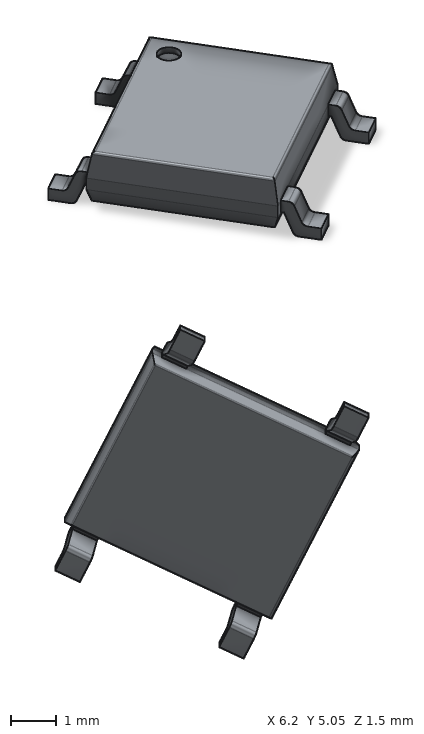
import cadquery as cq
import math

BODY_LENGTH_X = 4.35
BODY_LENGTH_Y = 5.05
BODY_BOTTOM_Z = 0.22
BODY_TOP_Z = 1.5
TOP_DRAFT = 10.0
BOTTOM_DRAFT = 16.0
TOP_EDGE_RADIUS = 0.065
BOTTOM_EDGE_RADIUS = 0.03

MARK_DIAMETER = 0.54
MARK_DEPTH = 0.15
MARK_X = -1.47
MARK_Y = 1.83

LEAD_SPAN = 6.2
LEAD_PITCH = 4.0
LEAD_WIDTH = 0.6
LEAD_THICKNESS = 0.3
LEAD_TOP_Z = 0.875
LEAD_SLOPE = 67.0
FOOT_CORNER = 0.41
BEND_RADIUS = 0.15

BELT_TOP_Z = LEAD_TOP_Z
BELT_BOTTOM_Z = LEAD_TOP_Z - LEAD_THICKNESS
BODY_SIDE_X = BODY_LENGTH_X / 2
LEAD_TIP_X = LEAD_SPAN / 2


def belt_rectangle(z):
    """Full-size rectangle of the body at height z."""
    return cq.Workplane("XY").workplane(offset=z).rect(BODY_LENGTH_X, BODY_LENGTH_Y)


def make_body():
    """Moulded housing: straight belt, drafted halves and a round pin-1 recess."""
    belt = belt_rectangle(BELT_BOTTOM_Z).extrude(LEAD_THICKNESS)
    upper = belt_rectangle(BELT_TOP_Z).extrude(BODY_TOP_Z - BELT_TOP_Z, taper=TOP_DRAFT)
    upper = upper.faces(">Z").edges().fillet(TOP_EDGE_RADIUS)
    lower = belt_rectangle(BELT_BOTTOM_Z).extrude(BODY_BOTTOM_Z - BELT_BOTTOM_Z, taper=BOTTOM_DRAFT)
    lower = lower.faces("<Z").edges().fillet(BOTTOM_EDGE_RADIUS)
    mark = (
        cq.Workplane("XY")
        .workplane(offset=BODY_TOP_Z - MARK_DEPTH)
        .center(MARK_X, MARK_Y)
        .circle(MARK_DIAMETER / 2)
        .extrude(MARK_DEPTH)
    )
    return belt.union(upper).union(lower).cut(mark)


def make_lead(side, y):
    """Gull-wing lead of constant thickness, butting on the belt; side is -1 or +1 along X."""
    slope = math.radians(LEAD_SLOPE)
    leg_run = (LEAD_TOP_Z - LEAD_THICKNESS) / math.tan(slope)
    mitre_shift = LEAD_THICKNESS * math.tan(slope / 2)

    heel_x = LEAD_TIP_X - FOOT_CORNER
    shoulder_x = heel_x - leg_run
    corners = [
        (LEAD_TIP_X, 0),
        (LEAD_TIP_X, LEAD_THICKNESS),
        (heel_x, LEAD_THICKNESS),
        (shoulder_x, LEAD_TOP_Z),
        (BODY_SIDE_X, LEAD_TOP_Z),
        (BODY_SIDE_X, BELT_BOTTOM_Z),
        (shoulder_x - mitre_shift, BELT_BOTTOM_Z),
        (heel_x - mitre_shift, 0),
    ]
    bends = [corners[2], corners[3], corners[7]]

    lead = (
        cq.Workplane("XZ", origin=(0, y + LEAD_WIDTH / 2, 0))
        .polyline([(side * x, z) for x, z in corners])
        .close()
        .extrude(LEAD_WIDTH)
    )
    for x, z in bends:
        lead = lead.edges(cq.selectors.NearestToPointSelector((side * x, y, z))).fillet(BEND_RADIUS)
    return lead


body = make_body()
leads = [make_lead(side, y) for side in (-1, 1) for y in (-LEAD_PITCH / 2, LEAD_PITCH / 2)]

result = cq.Compound.makeCompound([body.val(), *[lead.val() for lead in leads]])